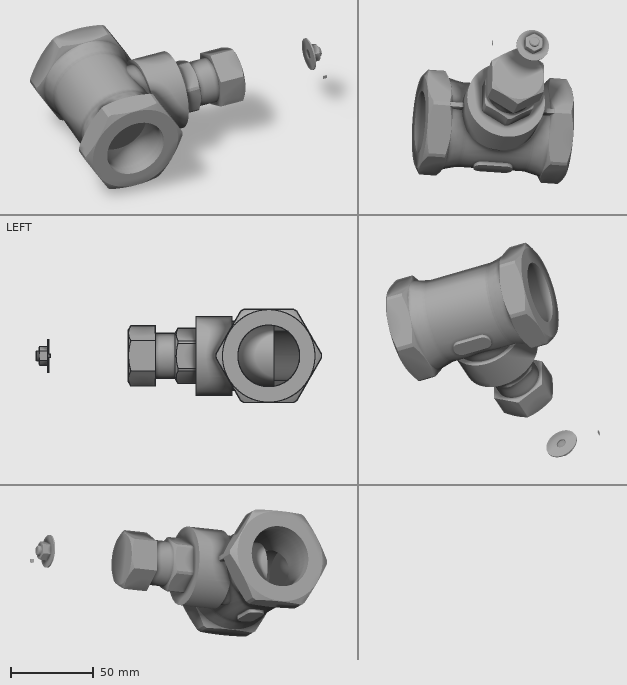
import cadquery as cq
import math


BODY_LENGTH = 90.0
TUBE_DIAMETER = 51.5
FLARE_DIAMETER = 56.2
END_HEX_FLATS = 56.7
END_HEX_CORNERS = 64.2
END_HEX_LENGTH = 15.0
FLARE_LENGTH = 9.2
FLARE_BLEND_RADIUS = 5.2
PORT_DIAMETER = 37.5
CHAMFER_ANGLE = 30.0

BRANCH_DIAMETER = 48.0
BRANCH_BOTTOM = 22.2
BRANCH_TOP = 44.2
NECK_DIAMETER = 42.3
RIB_TOP = 31.8
RIB_THICKNESS = 2.8
PAD_LENGTH = 24.0
PAD_WIDTH = 10.4
PAD_CORNER_RADIUS = 4.7
PAD_FACE = 27.5

PLUG_DIAMETER = PORT_DIAMETER
PLUG_BOTTOM = -3.1
SEAT_DIAMETER = 30.0
SEAT_WALL = 3.5

BONNET_FLATS = 30.0
BONNET_CORNERS = 33.7
BONNET_HEX_TOP = 56.9
SPOUT_DIAMETER = 27.5
CAP_NUT_FLATS = 32.0
CAP_NUT_FACE_DIAMETER = 31.2
CAP_NUT_BOTTOM = 68.9
CAP_NUT_TOP = 85.4

WASHER_DIAMETER = 20.0
WASHER_THICKNESS = 0.9
WASHER_BOTTOM = 133.6
STUD_DIAMETER = 6.0
STUD_TOP = 141.4
STUD_CHAMFER = 0.5
SMALL_NUT_FLATS = 10.0
SMALL_NUT_HEIGHT = 5.0

CLIP_X = 24.6
CLIP_BOTTOM = 132.5
CLIP_TOP = 135.2
CLIP_THICKNESS = 0.3
CLIP_FLANGE = 0.5
CLIP_HEIGHT = 2.0

HALF_LENGTH = BODY_LENGTH / 2
HEX_INNER_FACE = HALF_LENGTH - END_HEX_LENGTH
FLARE_END = HEX_INNER_FACE - FLARE_LENGTH
WASHER_TOP = WASHER_BOTTOM + WASHER_THICKNESS


def cylinder_y(diameter, bottom, top):
    """Cylinder on the Y axis between two Y levels."""
    return cq.Workplane("XZ", origin=(0, bottom, 0)).circle(diameter / 2).extrude(bottom - top)


def corner_width(flats):
    """Distance over the sharp corners of a hexagon."""
    return flats / math.cos(math.pi / 6)


def hex_y(flats, bottom, top):
    """Hexagonal prism on the Y axis with flats facing +X and -X."""
    prism = cq.Workplane("XZ", origin=(0, bottom, 0)).polygon(6, corner_width(flats)).extrude(bottom - top)
    return prism.rotate((0, 0, 0), (0, 1, 0), 30)


def chamfer_drop(corners, face):
    """Axial length of a hexagon's turned chamfer from the face circle out to the corners."""
    return (corners - face) / 2 * math.tan(math.radians(CHAMFER_ANGLE))


def turned_hex_y(flats, corners, face, bottom, top):
    """Hexagonal prism on the Y axis, turned to a corner diameter and chamfered at its top."""
    envelope = (
        cq.Workplane("XY")
        .moveTo(0, bottom)
        .lineTo(corners / 2, bottom)
        .lineTo(corners / 2, top - chamfer_drop(corners, face))
        .lineTo(face / 2, top)
        .lineTo(0, top)
        .close()
        .revolve(360, (0, 0, 0), (0, 1, 0))
    )
    return hex_y(flats, bottom, top).intersect(envelope)


def make_end_hex():
    """Hexagon at the -X end, turned at its corners and chamfered on both faces."""
    prism = (
        cq.Workplane("YZ", origin=(-HALF_LENGTH, 0, 0))
        .polygon(6, corner_width(END_HEX_FLATS))
        .extrude(END_HEX_LENGTH)
    )
    drop = chamfer_drop(END_HEX_CORNERS, FLARE_DIAMETER)
    envelope = (
        cq.Workplane("XY")
        .moveTo(-HALF_LENGTH, 0)
        .lineTo(-HALF_LENGTH, FLARE_DIAMETER / 2)
        .lineTo(-HALF_LENGTH + drop, END_HEX_CORNERS / 2)
        .lineTo(-HEX_INNER_FACE - drop, END_HEX_CORNERS / 2)
        .lineTo(-HEX_INNER_FACE, FLARE_DIAMETER / 2)
        .lineTo(-HEX_INNER_FACE, 0)
        .close()
        .revolve(360, (0, 0, 0), (1, 0, 0))
    )
    return prism.intersect(envelope)


def make_tube():
    """Solid tube with a conical flare towards each end hexagon."""
    flare_radius = FLARE_DIAMETER / 2
    tube_radius = TUBE_DIAMETER / 2
    slope = math.atan2(flare_radius - tube_radius, FLARE_LENGTH)
    blend = FLARE_BLEND_RADIUS * math.tan(slope / 2)
    blend_x = FLARE_END + blend * math.cos(slope)
    blend_r = tube_radius + blend * math.sin(slope)
    mid_x = FLARE_END - blend + FLARE_BLEND_RADIUS * math.sin(slope / 2)
    mid_r = tube_radius + FLARE_BLEND_RADIUS * (1 - math.cos(slope / 2))
    return (
        cq.Workplane("XY")
        .moveTo(-HEX_INNER_FACE, 0)
        .lineTo(-HEX_INNER_FACE, flare_radius)
        .lineTo(-blend_x, blend_r)
        .threePointArc((-mid_x, mid_r), (-FLARE_END + blend, tube_radius))
        .lineTo(FLARE_END - blend, tube_radius)
        .threePointArc((mid_x, mid_r), (blend_x, blend_r))
        .lineTo(HEX_INNER_FACE, flare_radius)
        .lineTo(HEX_INNER_FACE, 0)
        .close()
        .revolve(360, (0, 0, 0), (1, 0, 0))
    )


def make_rib():
    """Thin rib in the XY plane that joins the branch to both end hexagons."""
    return cq.Workplane("XY").box(2 * HEX_INNER_FACE + END_HEX_LENGTH, RIB_TOP, RIB_THICKNESS,
                                  centered=(True, False, True))


def make_pad():
    """Rounded pad on the underside of the tube."""
    return (
        cq.Workplane("XY", origin=(0, 0, -PAD_FACE))
        .rect(PAD_LENGTH, PAD_WIDTH)
        .extrude(PAD_FACE)
        .edges("|Z")
        .fillet(PAD_CORNER_RADIUS)
    )


def make_port(inner_x, outer_x):
    """Blind flow port on the X axis."""
    return cq.Workplane("YZ", origin=(inner_x, 0, 0)).circle(PORT_DIAMETER / 2).extrude(outer_x - inner_x)


def make_valve_body():
    end_hex = make_end_hex()
    body = make_tube().union(end_hex).union(end_hex.mirror("YZ"))
    body = body.union(make_rib()).union(make_pad())
    body = body.union(cylinder_y(NECK_DIAMETER, 0, BRANCH_BOTTOM))
    body = body.union(cylinder_y(BRANCH_DIAMETER, BRANCH_BOTTOM, BRANCH_TOP))
    body = body.cut(make_port(-HALF_LENGTH, 0))
    body = body.cut(make_port(SEAT_DIAMETER / 2 + SEAT_WALL, HALF_LENGTH))
    body = body.cut(cylinder_y(PLUG_DIAMETER, PLUG_BOTTOM, BRANCH_TOP))
    return body.cut(cylinder_y(SEAT_DIAMETER, -PORT_DIAMETER / 2, PLUG_BOTTOM))


def make_plug():
    return cylinder_y(PLUG_DIAMETER, PLUG_BOTTOM, BRANCH_TOP)


def make_bonnet():
    """Hexagon on the branch with a round spout that carries the cap nut."""
    bonnet = turned_hex_y(BONNET_FLATS, BONNET_CORNERS, SPOUT_DIAMETER, BRANCH_TOP, BONNET_HEX_TOP)
    return bonnet.union(cylinder_y(SPOUT_DIAMETER, BONNET_HEX_TOP, CAP_NUT_BOTTOM))


def make_cap_nut():
    corners = corner_width(CAP_NUT_FLATS)
    return turned_hex_y(CAP_NUT_FLATS, corners, CAP_NUT_FACE_DIAMETER, CAP_NUT_BOTTOM, CAP_NUT_TOP)


def make_washer():
    hole = cylinder_y(STUD_DIAMETER, WASHER_BOTTOM, WASHER_TOP)
    return cylinder_y(WASHER_DIAMETER, WASHER_BOTTOM, WASHER_TOP).cut(hole)


def make_small_nut():
    top = WASHER_TOP + SMALL_NUT_HEIGHT
    corners = corner_width(SMALL_NUT_FLATS)
    nut = turned_hex_y(SMALL_NUT_FLATS, corners, SMALL_NUT_FLATS, WASHER_TOP, top)
    return nut.cut(cylinder_y(STUD_DIAMETER, WASHER_TOP, top))


def make_stud():
    return cylinder_y(STUD_DIAMETER, WASHER_TOP, STUD_TOP).faces(">Y").chamfer(STUD_CHAMFER)


def make_clip():
    """Small L-shaped clip beside the washer."""
    return (
        cq.Workplane("XY", origin=(0, 0, -CLIP_HEIGHT / 2))
        .moveTo(CLIP_X, CLIP_BOTTOM)
        .lineTo(CLIP_X + CLIP_THICKNESS, CLIP_BOTTOM)
        .lineTo(CLIP_X + CLIP_THICKNESS, CLIP_TOP - CLIP_THICKNESS)
        .lineTo(CLIP_X + CLIP_FLANGE, CLIP_TOP - CLIP_THICKNESS)
        .lineTo(CLIP_X + CLIP_FLANGE, CLIP_TOP)
        .lineTo(CLIP_X, CLIP_TOP)
        .close()
        .extrude(CLIP_HEIGHT)
    )


valve_body = make_valve_body()
plug = make_plug()
bonnet = make_bonnet()
cap_nut = make_cap_nut()
washer = make_washer()
small_nut = make_small_nut()
stud = make_stud()
clip = make_clip()

result = cq.Compound.makeCompound([
    valve_body.val(),
    plug.val(),
    bonnet.val(),
    cap_nut.val(),
    washer.val(),
    small_nut.val(),
    stud.val(),
    clip.val(),
])